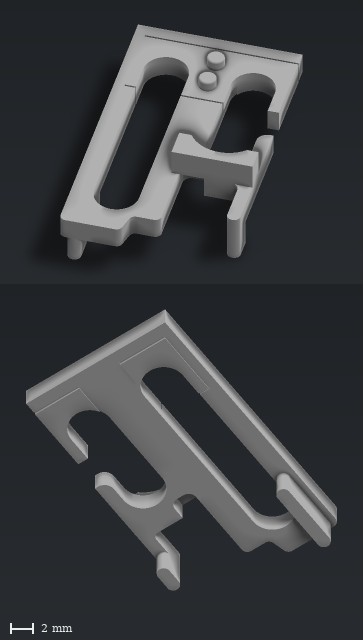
import cadquery as cq
import math

LENGTH = 26.5
WIDTH = 15.4
THICKNESS = 2.01
BAR_RIGHT = 15.05
BAR_FRONT = 25.3
CORNER_RADIUS = 0.58

BODY_RIGHT = 8.67
STEP_Y = 2.1
SLANT_FRONT_X = 5.56
SLANT_REAR_X = 6.1

SLOT_LEFT = 2.0
SLOT_RIGHT = 6.1
SLOT_FRONT = 2.5
SLOT_REAR = 23.08

BAY_LEFT = 9.9
BAY_RIGHT = 14.07
BAY_RADIUS = (BAY_RIGHT - BAY_LEFT) / 2
BAY_X = (BAY_LEFT + BAY_RIGHT) / 2
BAY_FRONT = 10.97
BAY_CENTER_Y = BAY_FRONT + BAY_RADIUS
ARM_REAR = 15.55
ARM_RADIUS = 1.0

BRIDGE_FRONT = 8.48
BRIDGE_LEFT = 10.95
RELIEF_REAR = 10.45
RELIEF_RADIUS = 0.82
LEG_WIDTH = 1.22
LEG_LEFT = WIDTH - LEG_WIDTH
LEG_FRONT = 3.92

BLOCK_HEIGHT = 2.5
BLOCK_LEFT = 7.98
BLOCK_REAR_LEFT = 11.08
BLOCK_REAR_RIGHT = 10.47
SADDLE_RADIUS = 3.5

FOOT_HEIGHT = 2.5
LEFT_FOOT_X = 0.64
LEFT_FOOT_WIDTH = 1.25
LEFT_FOOT_LENGTH = 7.37
LEG_FOOT_LENGTH = 2.65

INSERT_LEFT = 0.95
INSERT_FRONT = 18.58
INSERT_REAR = 25.15
INSERT_PROUD = 0.08
SEAT_FRONT = 18.42
NOTCH_LEFT = 10.0
NOTCH_RIGHT = 14.02
TONGUE_LEFT = 5.83
TONGUE_RIGHT = 10.25
TONGUE_HEIGHT = THICKNESS / 2

PIN_X = 8.03
PIN_YS = (20.4, 23.2)
PIN_RADIUS = 0.8
PIN_HEIGHT = 0.98
PIN_ROUNDING = 0.19


def box(x0, x1, y0, y1, z0, z1):
    """Box between two opposite corners."""
    return cq.Workplane("XY").box(x1 - x0, y1 - y0, z1 - z0, centered=False).translate((x0, y0, z0))


def round_slot(x0, x1, y0, y1, z0, z1):
    """Vertical-sided slot along Y with full-radius ends."""
    slot = cq.Workplane("XY").slot2D(y1 - y0, x1 - x0, 90).extrude(z1 - z0)
    return slot.translate(((x0 + x1) / 2, (y0 + y1) / 2, z0))


def fillet_at(plate, x, y, radius):
    """Round the vertical edge nearest to (x, y)."""
    edge = cq.selectors.NearestToPointSelector((x, y, THICKNESS / 2))
    return plate.edges("|Z").edges(edge).fillet(radius)


def through_slot():
    return round_slot(SLOT_LEFT, SLOT_RIGHT, SLOT_FRONT, SLOT_REAR, -INSERT_PROUD, THICKNESS)


def make_plate():
    outline = (
        cq.Workplane("XY")
        .moveTo(0, 0)
        .lineTo(SLANT_FRONT_X, 0)
        .lineTo(SLANT_REAR_X, STEP_Y)
        .lineTo(BODY_RIGHT, STEP_Y)
        .lineTo(BODY_RIGHT, RELIEF_REAR)
        .lineTo(BRIDGE_LEFT, RELIEF_REAR)
        .lineTo(BRIDGE_LEFT, BRIDGE_FRONT)
        .lineTo(LEG_LEFT, BRIDGE_FRONT)
        .lineTo(LEG_LEFT, LEG_FRONT)
        .lineTo(WIDTH, LEG_FRONT)
        .lineTo(WIDTH, ARM_REAR)
        .lineTo(BAY_RIGHT, ARM_REAR)
        .lineTo(BAY_RIGHT, BAY_CENTER_Y)
        .threePointArc((BAY_X, BAY_FRONT), (BAY_LEFT, BAY_CENTER_Y))
        .lineTo(BAY_LEFT, SEAT_FRONT)
        .lineTo(INSERT_LEFT, SEAT_FRONT)
        .lineTo(INSERT_LEFT, BAR_FRONT)
        .lineTo(BAR_RIGHT, BAR_FRONT)
        .lineTo(BAR_RIGHT, LENGTH)
        .lineTo(0, LENGTH)
        .close()
    )
    plate = outline.extrude(THICKNESS)
    rounded_corners = (
        (0, 0, CORNER_RADIUS),
        (SLANT_FRONT_X, 0, CORNER_RADIUS),
        (SLANT_REAR_X, STEP_Y, CORNER_RADIUS),
        (BODY_RIGHT, STEP_Y, CORNER_RADIUS),
        (BODY_RIGHT, RELIEF_REAR, RELIEF_RADIUS),
        (BRIDGE_LEFT, RELIEF_REAR, RELIEF_RADIUS),
        (LEG_LEFT, BRIDGE_FRONT, CORNER_RADIUS),
        (LEG_LEFT, LEG_FRONT, CORNER_RADIUS),
        (WIDTH, LEG_FRONT, CORNER_RADIUS),
        (BAY_RIGHT, ARM_REAR, ARM_RADIUS),
    )
    for x, y, radius in rounded_corners:
        plate = fillet_at(plate, x, y, radius)
    return plate


def make_tongue():
    """Low web from the frame body to the rear bar, clear of the slot and the bay."""
    tongue = box(TONGUE_LEFT, TONGUE_RIGHT, SEAT_FRONT, BAR_FRONT, 0, TONGUE_HEIGHT)
    return tongue.cut(round_slot(BAY_LEFT, BAY_RIGHT, BAY_FRONT, SLOT_REAR, 0, TONGUE_HEIGHT))


def saddle_x_offset(y):
    """Distance from the bay axis to the saddle arc at the given Y."""
    return math.sqrt(SADDLE_RADIUS**2 - (BAY_CENTER_Y - y) ** 2)


def make_saddle_block():
    arc_left = BAY_X - saddle_x_offset(BLOCK_REAR_LEFT)
    arc_right = BAY_X + saddle_x_offset(BLOCK_REAR_RIGHT)
    return (
        cq.Workplane("XY", origin=(0, 0, THICKNESS))
        .moveTo(BLOCK_LEFT, BRIDGE_FRONT)
        .lineTo(WIDTH, BRIDGE_FRONT)
        .lineTo(WIDTH, BLOCK_REAR_RIGHT)
        .lineTo(arc_right, BLOCK_REAR_RIGHT)
        .threePointArc((BAY_X, BAY_CENTER_Y - SADDLE_RADIUS), (arc_left, BLOCK_REAR_LEFT))
        .lineTo(BLOCK_LEFT, BLOCK_REAR_LEFT)
        .close()
        .extrude(BLOCK_HEIGHT)
    )


def make_frame():
    left_foot = round_slot(LEFT_FOOT_X, LEFT_FOOT_X + LEFT_FOOT_WIDTH, 0, LEFT_FOOT_LENGTH, -FOOT_HEIGHT, 0)
    leg_foot = box(LEG_LEFT, WIDTH, LEG_FRONT, LEG_FRONT + LEG_FOOT_LENGTH, -FOOT_HEIGHT, 0)
    leg_foot = leg_foot.edges("|Z").fillet(CORNER_RADIUS)
    frame = make_plate().union(make_tongue()).cut(through_slot())
    return frame.union(make_saddle_block()).union(left_foot).union(leg_foot)


def make_insert():
    insert = box(INSERT_LEFT, BAR_RIGHT, INSERT_FRONT, INSERT_REAR, -INSERT_PROUD, THICKNESS)
    notch = round_slot(NOTCH_LEFT, NOTCH_RIGHT, BAY_FRONT, SLOT_REAR, -INSERT_PROUD, THICKNESS)
    tongue_recess = box(TONGUE_LEFT, TONGUE_RIGHT, INSERT_FRONT, INSERT_REAR, -INSERT_PROUD, TONGUE_HEIGHT)
    insert = insert.cut(through_slot()).cut(notch).cut(tongue_recess)
    for pin_y in PIN_YS:
        pin = cq.Workplane("XY").circle(PIN_RADIUS).extrude(PIN_HEIGHT).faces(">Z").edges().fillet(PIN_ROUNDING)
        insert = insert.union(pin.translate((PIN_X, pin_y, THICKNESS)))
    return insert


frame = make_frame()
insert = make_insert()
result = cq.Compound.makeCompound([frame.solids().val(), insert.solids().val()])